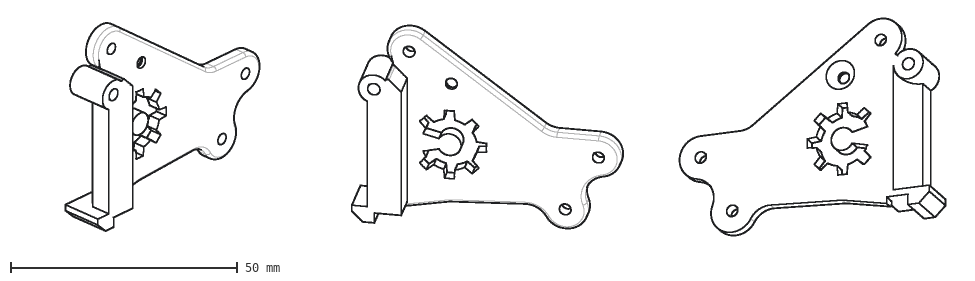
import cadquery as cq
import math


plate_thickness = 3.0
edge_round = 0.8
lobe_radius = 5.0
screw_diameter = 2.6
rear_lobe = (33.45, 0.0)
lower_lobe = (26.0, -13.45)
upper_lobe = (-9.0, 22.0)
shoulder_slope = math.radians(36.4)
bottom_bend = (0.0, -14.35)
bottom_corner = (-10.45, -16.45)
bottom_slope = math.radians(3.5)
plate_front_y = -12.05

countersink_center = (0.5, 15.05)
countersink_diameter = 6.65

gear_root_radius = 6.25
gear_tip_distance = 8.3
tooth_root_half_width = 1.25
tooth_tip_half_width = 1.05
tooth_count = 8
hub_radius = 2.65
bridge_inner_half_width = 1.3
bridge_outer_half_width = 2.25

full_width = 10.0
barrel_center = (-15.6, 15.6)
barrel_radius = 3.5
pivot_diameter = 2.8
block_front_y = -17.05
block_back_y = -9.45
block_bevel = plate_front_y - block_front_y
rod_center = (-12.45, 18.0)
rod_diameter = 0.65
hook_top = -13.45
hook_underside = -14.9
hook_bottom = -17.35
hook_front_y = -20.55
hook_catch_y = -15.45
hook_chamfer = 2.5


def polar(center, radius, angle):
    return (center[0] + radius * math.cos(angle), center[1] + radius * math.sin(angle))


def prism(points, width):
    return cq.Workplane("YZ").polyline(points).close().extrude(width)


def rod(center, diameter, width):
    return cq.Workplane("YZ").center(*center).circle(diameter / 2).extrude(width)


def midpoint(p, q):
    return ((p[0] + q[0]) / 2, (p[1] + q[1]) / 2)


def arc_middle(center, start, end):
    """Middle of the shorter arc from start to end around a lobe-sized circle."""
    chord_middle = midpoint(start, end)
    angle = math.atan2(chord_middle[1] - center[1], chord_middle[0] - center[0])
    return polar(center, lobe_radius, angle)


def shoulder_center():
    """Centre of the concave arc between the flat top edge and the sloping edge."""
    height = 2 * lobe_radius
    drop = (height - upper_lobe[1]) * math.cos(shoulder_slope)
    run = (height - drop) / math.sin(shoulder_slope)
    return (upper_lobe[0] + run, height)


def waist_center():
    """Centre of the concave arc touching the rear and lower lobes."""
    dy = lower_lobe[0] - rear_lobe[0]
    dz = lower_lobe[1] - rear_lobe[1]
    half_gap = math.hypot(dy, dz) / 2
    angle = math.atan2(dz, dy) + math.acos(half_gap / (2 * lobe_radius))
    return polar(rear_lobe, 2 * lobe_radius, angle)


def heel_center():
    """Centre of the concave arc touching the lower lobe and the bottom edge."""
    dy = lower_lobe[0] - bottom_bend[0]
    dz = lower_lobe[1] - bottom_bend[1]
    lobe_along = dy * math.cos(bottom_slope) + dz * math.sin(bottom_slope)
    lobe_height = dz * math.cos(bottom_slope) - dy * math.sin(bottom_slope)
    back = math.sqrt((2 * lobe_radius) ** 2 - (lobe_height + lobe_radius) ** 2)
    on_edge = polar(bottom_bend, lobe_along - back, bottom_slope)
    return polar(on_edge, lobe_radius, bottom_slope - math.pi / 2)


def make_plate():
    """Plate with convex lobes joined by concave arcs of the same radius."""
    shoulder = shoulder_center()
    waist = waist_center()
    heel = heel_center()
    slope_normal = math.pi / 2 - shoulder_slope

    upper_start = polar(upper_lobe, lobe_radius, math.radians(225))
    upper_middle = polar(upper_lobe, lobe_radius, math.radians(135))
    upper_end = polar(upper_lobe, lobe_radius, slope_normal)
    shoulder_start = polar(shoulder, lobe_radius, slope_normal + math.pi)
    shoulder_end = (shoulder[0], lobe_radius)
    rear_start = (rear_lobe[0], lobe_radius)
    rear_end = midpoint(rear_lobe, waist)
    lower_start = midpoint(waist, lower_lobe)
    lower_end = midpoint(lower_lobe, heel)
    heel_end = polar(heel, lobe_radius, bottom_slope + math.pi / 2)

    plate = (
        cq.Workplane("YZ")
        .moveTo(plate_front_y, hook_underside)
        .lineTo(plate_front_y, barrel_center[1])
        .lineTo(*upper_start)
        .threePointArc(upper_middle, upper_end)
        .lineTo(*shoulder_start)
        .threePointArc(arc_middle(shoulder, shoulder_start, shoulder_end), shoulder_end)
        .lineTo(*rear_start)
        .threePointArc(arc_middle(rear_lobe, rear_start, rear_end), rear_end)
        .threePointArc(arc_middle(waist, rear_end, lower_start), lower_start)
        .threePointArc(arc_middle(lower_lobe, lower_start, lower_end), lower_end)
        .threePointArc(arc_middle(heel, lower_end, heel_end), heel_end)
        .lineTo(*bottom_bend)
        .lineTo(*bottom_corner)
        .lineTo(bottom_corner[0], hook_underside)
        .close()
        .extrude(plate_thickness)
    )
    face = plate.faces(">X")
    outline_point = (plate_thickness, *midpoint(shoulder_end, rear_start))
    bottom_point = (plate_thickness, *midpoint(bottom_bend, bottom_corner))
    outline_edge = face.edges(cq.selectors.NearestToPointSelector(outline_point))
    bottom_edge = face.edges(cq.selectors.NearestToPointSelector(bottom_point))
    return outline_edge.add(bottom_edge).fillet(edge_round)


def make_gear_opening():
    """Toothed ring with one tooth missing, where a tapered bridge holds the hub."""
    opening = rod((0, 0), 2 * gear_root_radius, plate_thickness)
    tooth = prism(
        [
            (0, -tooth_root_half_width),
            (gear_root_radius, -tooth_root_half_width),
            (gear_tip_distance, -tooth_tip_half_width),
            (gear_tip_distance, tooth_tip_half_width),
            (gear_root_radius, tooth_root_half_width),
            (0, tooth_root_half_width),
        ],
        plate_thickness,
    )
    for index in range(tooth_count):
        if index != tooth_count // 2:
            angle = index * 360 / tooth_count
            opening = opening.union(tooth.rotate((0, 0, 0), (1, 0, 0), angle))

    hub_y = math.sqrt(hub_radius**2 - bridge_inner_half_width**2)
    bridge = prism(
        [
            (-hub_y, -bridge_inner_half_width),
            (-hub_y, bridge_inner_half_width),
            (-gear_root_radius, bridge_outer_half_width),
            (-gear_root_radius, -bridge_outer_half_width),
        ],
        plate_thickness,
    )
    hub = rod((0, 0), 2 * hub_radius, plate_thickness)
    return opening.cut(hub).cut(bridge)


def make_block():
    """Support block with a bevelled front and a 45 degree top ending in a round tip."""
    rod_radius = rod_diameter / 2
    tip_start = polar(rod_center, rod_radius, 0.75 * math.pi)
    tip_end = polar(rod_center, rod_radius, 0.25 * math.pi)
    back_top = tip_end[1] - (block_back_y - tip_end[0])
    block = (
        cq.Workplane("YZ")
        .moveTo(block_front_y, hook_underside)
        .lineTo(block_front_y, barrel_center[1])
        .lineTo(*barrel_center)
        .lineTo(*tip_start)
        .threePointArc(polar(rod_center, rod_radius, math.pi / 2), tip_end)
        .lineTo(block_back_y, back_top)
        .lineTo(block_back_y, hook_underside)
        .close()
        .extrude(full_width)
    )
    front_bevel = (
        cq.Workplane("XY", origin=(0, 0, hook_underside))
        .polyline([(0, block_front_y), (block_bevel, block_front_y), (0, plate_front_y)])
        .close()
        .extrude(barrel_center[1] - hook_underside)
    )
    return block.cut(front_bevel)


def make_hook():
    """Snap hook across the full width, with a chamfered nose."""
    return prism(
        [
            (block_back_y, hook_top),
            (hook_front_y, hook_top),
            (hook_front_y, hook_underside),
            (hook_front_y + hook_chamfer, hook_bottom),
            (hook_catch_y, hook_bottom),
            (hook_catch_y, hook_underside),
            (block_back_y, hook_underside),
        ],
        full_width,
    )


result = make_plate().union(make_block()).union(make_hook())
result = result.union(rod(barrel_center, 2 * barrel_radius, full_width))
result = result.cut(rod(barrel_center, pivot_diameter, full_width))
result = result.cut(make_gear_opening())

for lobe in (rear_lobe, lower_lobe, upper_lobe):
    result = result.cut(rod(lobe, screw_diameter, plate_thickness))

countersink_depth = (countersink_diameter - screw_diameter) / 2
countersink = cq.Workplane("YZ").center(*countersink_center).circle(countersink_diameter / 2)
countersink = countersink.workplane(offset=countersink_depth).circle(screw_diameter / 2).loft()
result = result.cut(countersink).cut(rod(countersink_center, screw_diameter, plate_thickness))